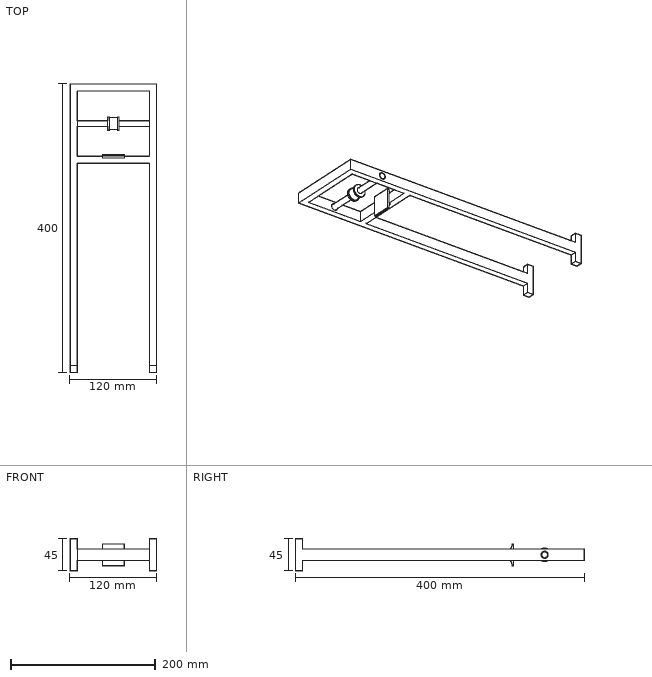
import cadquery as cq
import math

FRAME_LENGTH = 400.0
FRAME_WIDTH = 120.0
BAR_WIDTH = 10.0
BAR_HEIGHT = 16.0
FOOT_HEIGHT = 45.0
WINDOW_LENGTH = 90.0

PLATE_SIZE = 30.5
PLATE_TIP_THICKNESS = 2.0
PLATE_ROOT_THICKNESS = 5.0
PLATE_OVERHANG = 2.0

SHAFT_DIAMETER = 8.5
SHAFT_HOLE_DIAMETER = 10.0
SPOOL_BORE_DIAMETER = 9.0
SPOOL_DRUM_DIAMETER = 17.0
SPOOL_FLANGE_DIAMETER = 19.0
SPOOL_LENGTH = 16.0
SPOOL_FLANGE_THICKNESS = 2.5

INNER_WIDTH = FRAME_WIDTH - 2 * BAR_WIDTH
FRAME_END_Y = FRAME_LENGTH / 2
WINDOW_END_Y = FRAME_END_Y - BAR_WIDTH
CROSSBAR_BACK_Y = WINDOW_END_Y - WINDOW_LENGTH
CROSSBAR_FRONT_Y = CROSSBAR_BACK_Y - BAR_WIDTH
SHAFT_Y = WINDOW_END_Y - WINDOW_LENGTH / 2
RAIL_X = (FRAME_WIDTH - BAR_WIDTH) / 2
PLATE_BACK_Y = CROSSBAR_BACK_Y + PLATE_OVERHANG
PLATE_TIP_Y = PLATE_BACK_Y - PLATE_TIP_THICKNESS
PLATE_ROOT_Y = PLATE_BACK_Y - PLATE_ROOT_THICKNESS


def x_cylinder(diameter, length):
    """Cylinder along X, centred in X, on the shaft axis."""
    return (
        cq.Workplane("YZ", origin=(-length / 2, SHAFT_Y, 0))
        .circle(diameter / 2)
        .extrude(length)
    )


def make_plate():
    """Upright plate whose front face flares concavely towards the crossbar."""
    tip_z = PLATE_SIZE / 2
    root_z = BAR_HEIGHT / 2
    flare_depth = PLATE_TIP_Y - PLATE_ROOT_Y
    flare_height = tip_z - root_z
    radius = (flare_depth**2 + flare_height**2) / (2 * flare_depth)
    half_angle = math.asin(flare_height / radius) / 2
    middle_y = PLATE_TIP_Y - radius * (1 - math.cos(half_angle))
    middle_z = tip_z - radius * math.sin(half_angle)
    return (
        cq.Workplane("YZ", origin=(-PLATE_SIZE / 2, 0, 0))
        .moveTo(PLATE_BACK_Y, tip_z)
        .lineTo(PLATE_TIP_Y, tip_z)
        .threePointArc((middle_y, middle_z), (PLATE_ROOT_Y, root_z))
        .lineTo(PLATE_ROOT_Y, -root_z)
        .threePointArc((middle_y, -middle_z), (PLATE_TIP_Y, -tip_z))
        .lineTo(PLATE_BACK_Y, -tip_z)
        .close()
        .extrude(PLATE_SIZE)
    )


def make_frame():
    """Rails, end bar, crossbar, feet and plate in one piece."""
    frame = cq.Workplane("XY").box(FRAME_WIDTH, FRAME_LENGTH, BAR_HEIGHT)

    window = cq.Workplane("XY").box(INNER_WIDTH, WINDOW_LENGTH, BAR_HEIGHT)
    frame = frame.cut(window.translate((0, SHAFT_Y, 0)))

    bay_length = CROSSBAR_FRONT_Y + FRAME_LENGTH / 2
    bay = cq.Workplane("XY").box(INNER_WIDTH, bay_length, BAR_HEIGHT)
    frame = frame.cut(bay.translate((0, CROSSBAR_FRONT_Y - bay_length / 2, 0)))

    foot_y = (BAR_WIDTH - FRAME_LENGTH) / 2
    for foot_x in (-RAIL_X, RAIL_X):
        foot = cq.Workplane("XY").box(BAR_WIDTH, BAR_WIDTH, FOOT_HEIGHT)
        frame = frame.union(foot.translate((foot_x, foot_y, 0)))

    frame = frame.union(make_plate())
    return frame.cut(x_cylinder(SHAFT_HOLE_DIAMETER, FRAME_WIDTH))


def make_shaft():
    """Plain shaft ending flush with the outer rail faces."""
    return x_cylinder(SHAFT_DIAMETER, FRAME_WIDTH)


def make_spool():
    """Drum with a thin flange at each end and a through bore."""
    spool = x_cylinder(SPOOL_DRUM_DIAMETER, SPOOL_LENGTH)
    flange_x = (SPOOL_LENGTH - SPOOL_FLANGE_THICKNESS) / 2
    for side in (-1, 1):
        flange = x_cylinder(SPOOL_FLANGE_DIAMETER, SPOOL_FLANGE_THICKNESS)
        spool = spool.union(flange.translate((side * flange_x, 0, 0)))
    return spool.cut(x_cylinder(SPOOL_BORE_DIAMETER, SPOOL_LENGTH))


frame = make_frame()
shaft = make_shaft()
spool = make_spool()

result = cq.Compound.makeCompound([frame.val(), shaft.val(), spool.val()])